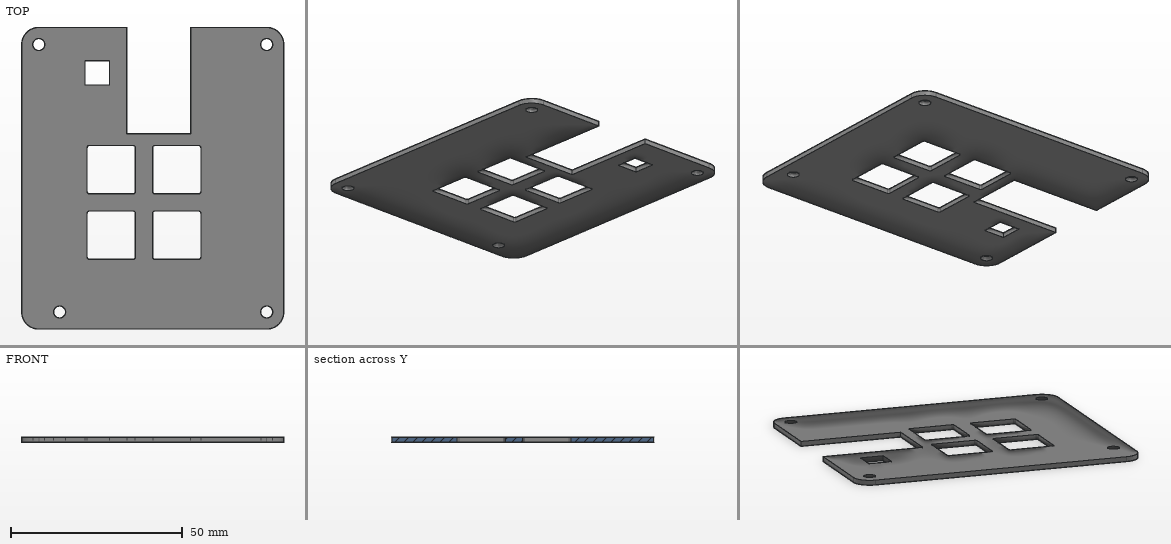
import cadquery as cq

width = 76.4
length = 87.95
thickness = 1.5
corner_radius = 5.0

hole_diameter = 3.4
hole_inset = corner_radius
front_left_hole_inset = 11.1

slot_width = 18.6
slot_depth = 31.0
slot_x = 1.8

switch_size = 14.0
switch_pitch = 19.1
switch_corner_radius = 0.5
switch_grid_x = -2.55
switch_grid_y = -7.0

window_size = 7.0
window_x = -16.2
window_y = 30.7


def box_cutter(size_x, size_y, x, y):
    """Rectangular prism through the plate, centred at (x, y)."""
    return (
        cq.Workplane("XY")
        .center(x, y)
        .rect(size_x, size_y)
        .extrude(thickness)
    )


plate = cq.Workplane("XY").rect(width, length).extrude(thickness)
plate = plate.edges("|Z").fillet(corner_radius)

hole_x = width / 2 - hole_inset
hole_y = length / 2 - hole_inset
hole_centres = [
    (-hole_x, hole_y),
    (hole_x, hole_y),
    (hole_x, -hole_y),
    (front_left_hole_inset - width / 2, -hole_y),
]
holes = (
    cq.Workplane("XY")
    .pushPoints(hole_centres)
    .circle(hole_diameter / 2)
    .extrude(thickness)
)

slot = box_cutter(slot_width, slot_depth, slot_x, (length - slot_depth) / 2)
window = box_cutter(window_size, window_size, window_x, window_y)
result = plate.cut(holes).cut(slot).cut(window)

for side_x in (-1, 1):
    for side_y in (-1, 1):
        switch_x = switch_grid_x + side_x * switch_pitch / 2
        switch_y = switch_grid_y + side_y * switch_pitch / 2
        switch = box_cutter(switch_size, switch_size, switch_x, switch_y)
        result = result.cut(switch.edges("|Z").fillet(switch_corner_radius))